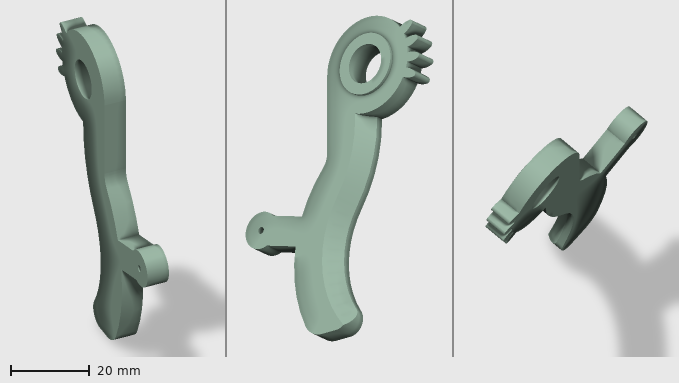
import cadquery as cq
import math


hub_radius = 13.0
bore_radius = 5.2
ring_radius = 8.2
ring_height = 1.0
plate_thickness = 6.0

tooth_count = 4
first_tooth_angle = 149.0
tooth_pitch_angle = 17.8
tooth_tip_radius = 16.7
tooth_shoulder_radius = 16.3
tooth_flank_radius = 14.9
tooth_root_radius = hub_radius - 0.8
tooth_root_half_width = 1.25
tooth_flank_half_width = 1.2
tooth_shoulder_half_width = 0.7

finger_center = (-15.2, -50.0)
finger_width = hub_radius
finger_inner_radius = 25.9
finger_outer_radius = finger_inner_radius + finger_width
finger_bottom = hub_radius - 82.9
neck_fillet = 6.0
front_tip_fillet = 4.0
rear_tip_fillet = 6.0
trigger_chamfer = 4.0

eye_center = (34.4, -36.8)
eye_radius = 5.0
eye_hole_radius = 0.9
lever_width = 7.95
lever_length = 16.6
lever_angle = 15.0


def polar(center, radius, angle):
    """Point at a radius and an angle in radians around a center."""
    return (center[0] + radius * math.cos(angle), center[1] + radius * math.sin(angle))


def point_on_arc(center, radius, toward):
    """Point of a circle in the direction of another point."""
    return polar(center, radius, math.atan2(toward[1] - center[1], toward[0] - center[0]))


def arc_middle(center, start, end):
    """Point halfway along the minor arc from start to end."""
    chord_middle = ((start[0] + end[0]) / 2, (start[1] + end[1]) / 2)
    return point_on_arc(center, math.dist(center, start), chord_middle)


def tangent_center_x(distance, center_z):
    """X of a circle center on the +X side, at a given distance from the finger center."""
    return finger_center[0] + math.sqrt(distance**2 - (center_z - finger_center[1]) ** 2)


def plate(sketch, thickness=plate_thickness):
    """Extrude an XZ profile from the front face toward +Y."""
    return sketch.extrude(-thickness)


def cylinder(center, radius, thickness=plate_thickness):
    return plate(cq.Workplane("XZ").center(*center).circle(radius), thickness)


neck_top = (0.0, -13.85)
neck_dx = neck_top[0] - finger_center[0]
neck_dz = neck_top[1] - finger_center[1]
neck_radius = (neck_dx**2 + neck_dz**2 - finger_inner_radius**2) / (2 * (finger_inner_radius - neck_dx))
neck_center = (neck_top[0] + neck_radius, neck_top[1])
neck_end = point_on_arc(finger_center, finger_inner_radius, neck_center)

wall_fillet_x = hub_radius + neck_fillet
wall_fillet_rise = math.sqrt((finger_outer_radius + neck_fillet) ** 2 - (wall_fillet_x - finger_center[0]) ** 2)
wall_fillet_center = (wall_fillet_x, finger_center[1] + wall_fillet_rise)
wall_end = (hub_radius, wall_fillet_center[1])
outer_start = point_on_arc(finger_center, finger_outer_radius, wall_fillet_center)

rear_tip_z = finger_bottom + rear_tip_fillet
rear_tip_center = (tangent_center_x(finger_outer_radius - rear_tip_fillet, rear_tip_z), rear_tip_z)
outer_end = point_on_arc(finger_center, finger_outer_radius, rear_tip_center)
front_tip_z = finger_bottom + front_tip_fillet
front_tip_center = (tangent_center_x(finger_inner_radius + front_tip_fillet, front_tip_z), front_tip_z)
inner_end = point_on_arc(finger_center, finger_inner_radius, front_tip_center)
front_tip_middle = polar(front_tip_center, front_tip_fillet, math.radians(200))


def finger_outline():
    """Finger with the neck, closed at the top by a line through the bore axis."""
    return plate(
        cq.Workplane("XZ")
        .moveTo(0, 0)
        .lineTo(hub_radius, 0)
        .lineTo(*wall_end)
        .threePointArc(arc_middle(wall_fillet_center, wall_end, outer_start), outer_start)
        .threePointArc(arc_middle(finger_center, outer_start, outer_end), outer_end)
        .threePointArc(
            arc_middle(rear_tip_center, outer_end, (rear_tip_center[0], finger_bottom)),
            (rear_tip_center[0], finger_bottom),
        )
        .lineTo(front_tip_center[0], finger_bottom)
        .threePointArc(front_tip_middle, inner_end)
        .threePointArc(arc_middle(finger_center, inner_end, neck_end), neck_end)
        .threePointArc(arc_middle(neck_center, neck_end, neck_top), neck_top)
        .close()
    )


def trigger_envelope():
    """Oversized block whose -X side follows the finger and has its back edge chamfered."""
    envelope_right = 49.7
    lower_end = polar(finger_center, finger_inner_radius, math.radians(-65))
    block = plate(
        cq.Workplane("XZ")
        .moveTo(0, 0)
        .lineTo(envelope_right, 0)
        .lineTo(envelope_right, lower_end[1])
        .lineTo(*lower_end)
        .threePointArc(arc_middle(finger_center, lower_end, neck_end), neck_end)
        .threePointArc(arc_middle(neck_center, neck_end, neck_top), neck_top)
        .close()
    )
    edge_selector = cq.selectors.BoxSelector(
        (-envelope_right, plate_thickness - 0.1, lower_end[1]),
        (envelope_right / 3, plate_thickness + 0.1, -0.8),
    )
    return block.edges(edge_selector).chamfer(trigger_chamfer)


def tooth(angle):
    """One slim tooth with bulged flanks and a rounded tip, turned to its angle."""
    profile = (
        cq.Workplane("XZ")
        .moveTo(tooth_root_radius, -tooth_root_half_width)
        .lineTo(hub_radius, -tooth_root_half_width)
        .threePointArc(
            (tooth_flank_radius, -tooth_flank_half_width),
            (tooth_shoulder_radius, -tooth_shoulder_half_width),
        )
        .threePointArc((tooth_tip_radius, 0), (tooth_shoulder_radius, tooth_shoulder_half_width))
        .threePointArc((tooth_flank_radius, tooth_flank_half_width), (hub_radius, tooth_root_half_width))
        .lineTo(tooth_root_radius, tooth_root_half_width)
        .close()
    )
    return plate(profile).rotate((0, 0, 0), (0, 1, 0), -angle)


def lever():
    """Straight arm from inside the finger to the eye center, with the eye disc."""
    arm = plate(cq.Workplane("XZ").center(-lever_length / 2, 0).rect(lever_length, lever_width))
    arm = arm.rotate((0, 0, 0), (0, 1, 0), -lever_angle).translate((eye_center[0], 0, eye_center[1]))
    return arm.union(cylinder(eye_center, eye_radius))


finger = finger_outline().intersect(trigger_envelope())
body = finger.union(cylinder((0, 0), hub_radius)).union(lever())
for index in range(tooth_count):
    body = body.union(tooth(first_tooth_angle + index * tooth_pitch_angle))

total_depth = plate_thickness + ring_height
body = body.union(cylinder((0, 0), ring_radius, total_depth))
body = body.cut(cylinder((0, 0), bore_radius, total_depth))
result = body.cut(cylinder(eye_center, eye_hole_radius))